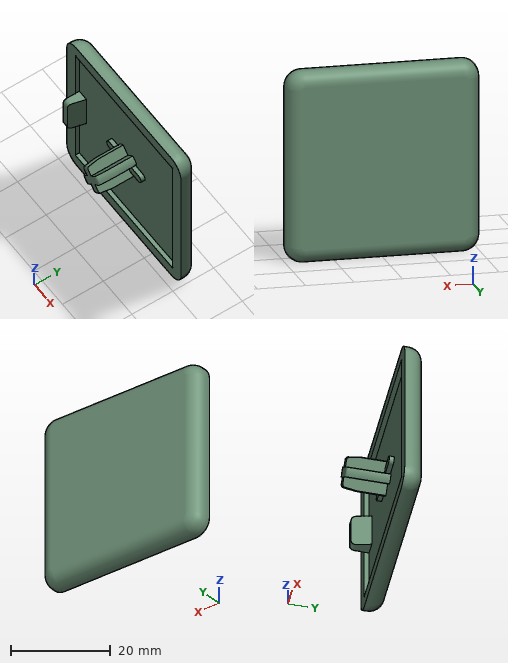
import cadquery as cq

plate_size = 40.0
plate_thickness = 4.0
corner_radius = 3.5
back_round = 3.0

rim_width = 3.0
recess_depth = 1.0
recess_size = plate_size - 2 * rim_width

pad_length = 12.0
pad_width = 1.9
pad_height = 1.0

stem_reach = 8.0
stem_radius = 3.5
stem_arm_width = 2.0
stem_arm_angles = (45, 135)
taper_length = 3.0
tip_radius = 3.1
tip_round = 0.5

hook_reach = 3.0
hook_length = 8.2
hook_base_width = 2.5
hook_tip_width = 1.5
hook_corner_radius = 1.0


def front_plane(y):
    """XZ sketch plane at the given Y, extruding toward -Y."""
    return cq.Workplane("XZ", origin=(0, y, 0))


def make_plate():
    plate = (
        front_plane(plate_thickness)
        .rect(plate_size, plate_size)
        .extrude(plate_thickness)
        .edges("|Y")
        .fillet(corner_radius)
        .faces(">Y")
        .edges()
        .fillet(back_round)
    )
    recess = front_plane(recess_depth).rect(recess_size, recess_size).extrude(recess_depth)
    return plate.cut(recess)


def make_pad():
    return front_plane(recess_depth).slot2D(pad_length, pad_width).extrude(pad_height)


def make_stem():
    height = stem_reach + recess_depth
    taper_start = taper_length - stem_reach
    envelope = (
        cq.Workplane("XY")
        .moveTo(0, recess_depth)
        .lineTo(stem_radius, recess_depth)
        .lineTo(stem_radius, taper_start)
        .lineTo(tip_radius, -stem_reach)
        .lineTo(0, -stem_reach)
        .close()
        .revolve(360, (0, 0, 0), (0, 1, 0))
        .faces("<Y")
        .edges()
        .fillet(tip_round)
    )
    cross = cq.Workplane("XY")
    for angle in stem_arm_angles:
        bar = front_plane(recess_depth).rect(2 * stem_radius, stem_arm_width).extrude(height)
        cross = cross.union(bar.rotate((0, 0, 0), (0, 1, 0), angle))
    return envelope.intersect(cross)


def make_hook():
    wall_x = -recess_size / 2
    return (
        cq.Workplane("XY")
        .moveTo(wall_x, recess_depth)
        .lineTo(wall_x + hook_base_width, recess_depth)
        .lineTo(wall_x + hook_tip_width, -hook_reach)
        .lineTo(wall_x, -hook_reach)
        .close()
        .extrude(hook_length / 2, both=True)
        .faces("<Y")
        .edges("|X")
        .fillet(hook_corner_radius)
    )


result = make_plate().union(make_pad()).union(make_stem()).union(make_hook())